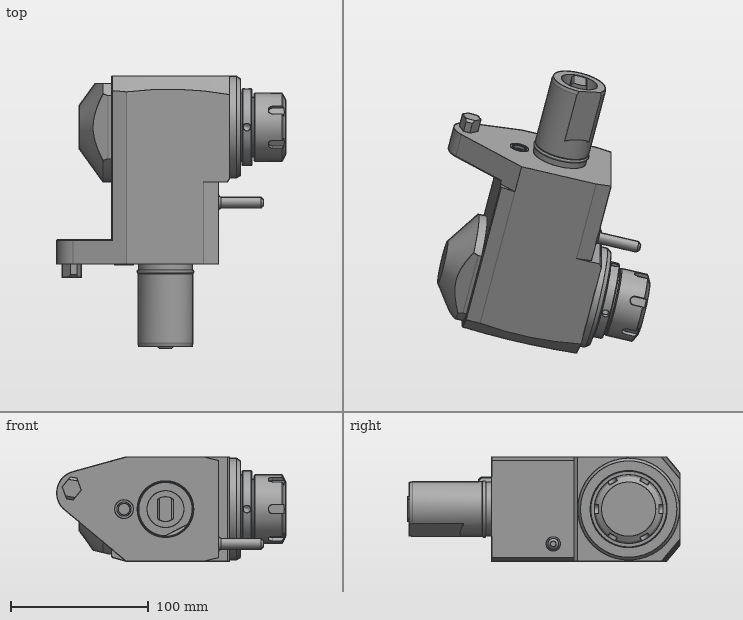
import cadquery as cq
import math


HALF_HEIGHT = 38.0
BODY_LEFT = -39.3
FOOT_RIGHT = 38.7
HEAD_RIGHT = 46.7
HEAD_FRONT = 59.6
BODY_BACK = 136.8
SPINDLE_Y = 99.5
HEAD_CHAMFER = (1.8, 2.6)
EDGE_CHAMFER = 0.8
LEFT_BEVEL_X = -28.4
RIGHT_BEVEL_X = 27.5
RIGHT_BEVEL_DROP = 2.8

BACK_BEVEL_HEIGHT = 11.7
BACK_BEVEL_DEPTH = 9.7
BACK_BEVEL_RADIUS = 247.0
BACK_BEVEL_X = 2.7

FLANGE_THICKNESS = 18.0
RELIEF_Y = 20.0
LUG_RADIUS = 16.0
LUG_X = -63.09
LUG_Z = 11.8
BOLT_X = -68.1
BOLT_Z = 15.0
BOLT_ACROSS_FLATS = 12.2
BOLT_LONG_WIDTH = 16.2
BOLT_HEIGHT = 9.6
BOLT_CHAMFER = 2.0
BOLT_TURN = 10.0

PLUG_X = -30.1
PLUG_RADIUS = 6.8
PLUG_RIM_RADIUS = 5.2
PLUG_BORE_RADIUS = 4.2
PLUG_HEIGHT = 0.5
PLUG_BORE_DEPTH = 2.0

SHANK_RADIUS = 20.0
SHANK_LENGTH = 60.0
SHANK_CHAMFER = (0.6, 2.6)
NECK_RADIUS = 19.7
NECK_END = 4.3
RING_END = 6.7
RING_RADIUS = 20.6
GROOVE_END = 7.2
FLAT_DISTANCE = 17.2
FLAT_ANGLE = -62.8
FLAT_START = 17.5
FLAT_RUNOUT = 3.0
SOCKET_RADIUS = 13.4
SOCKET_DEPTH = 12.0
TANG_WIDTH = 11.4
TANG_RADIUS = 9.0
TANG_END = 61.2
TANG_CHAMFER = 1.2

COLLAR_RADIUS = 37.0
COLLAR_END = 54.6
COLLAR_CHAMFER = 3.0
COLLAR_DROP = 2.0
GROOVE_RADIUS = 25.0
RING_START = 55.7
SPINDLE_RING_END = 62.7
SPINDLE_RING_RADIUS = 28.0
SPINDLE_RING_CHAMFER = 0.5
NUT_NECK_RADIUS = 21.8
NUT_START = 64.4
NUT_RADIUS = 25.0
NUT_CHAMFER = 0.8
NUT_SHOULDER = 85.3
NUT_SHOULDER_RADIUS = 24.0
NUT_END = 87.5
NUT_END_RADIUS = 19.7
NUT_SLOTS = 6
SLOT_WIDTH = 6.5
SLOT_START = 74.7
SLOT_FLOOR_RADIUS = 22.0
RING_HOLES = 4
RING_HOLE_X = 59.2
RING_HOLE_RADIUS = 2.7
RING_HOLE_DEPTH = 5.0
DRILL_POINT = 1.5

CAP_RADIUS = 39.8
CAP_RIM_X = -45.4
CAP_END_X = -62.7
CAP_END_RADIUS = 15.8
CAP_BACK = 131.4
CAP_HALF_HEIGHT = 32.5
CAP_CORNER = 7.4
CAP_BEVEL_X = -41.9
CAP_BEVEL_ANGLE = 14.0

PIN_Y = 44.7
PIN_Z = -25.3
PIN_RADIUS = 4.0
PIN_END = 71.4
PIN_CHAMFER = 2.0
PIN_COLLAR_RADIUS = 5.2
PIN_COLLAR_LENGTH = 1.5

OVERLAP = 1.0


def turned_about_x(points, y=0.0, z=0.0):
    """Solid of revolution about an X-parallel axis, from (x, radius) points."""
    profile = cq.Workplane("XY").polyline(points).close()
    return profile.revolve(360, (0, 0, 0), (1, 0, 0)).translate((0, y, z))


def along_y(sketch, start, end):
    """Extrude the outline that `sketch` draws in X and Z, from Y = start to Y = end."""
    plane = cq.Workplane("XZ", origin=(0, end, 0))
    return sketch(plane).extrude(end - start)


def lug_tangent(side):
    """Point where the line from the body corner at Z = side * HALF_HEIGHT touches the lug."""
    dx = LEFT_BEVEL_X - LUG_X
    dz = side * HALF_HEIGHT - LUG_Z
    angle = math.atan2(dz, dx) + side * math.acos(LUG_RADIUS / math.hypot(dx, dz))
    return LUG_X + LUG_RADIUS * math.cos(angle), LUG_Z + LUG_RADIUS * math.sin(angle)


def left_bevel_drop():
    """Fall of the upper lug slope between the bevel line and the left face."""
    tangent_x, tangent_z = lug_tangent(1)
    slope = (HALF_HEIGHT - tangent_z) / (LEFT_BEVEL_X - tangent_x)
    return slope * (LEFT_BEVEL_X - BODY_LEFT)


def flange_outline(plane):
    right_z = HALF_HEIGHT - RIGHT_BEVEL_DROP
    return (
        plane.moveTo(LEFT_BEVEL_X, HALF_HEIGHT)
        .lineTo(RIGHT_BEVEL_X, HALF_HEIGHT)
        .lineTo(FOOT_RIGHT, right_z)
        .lineTo(FOOT_RIGHT, -right_z)
        .lineTo(RIGHT_BEVEL_X, -HALF_HEIGHT)
        .lineTo(LEFT_BEVEL_X, -HALF_HEIGHT)
        .lineTo(*lug_tangent(-1))
        .threePointArc((LUG_X - LUG_RADIUS, LUG_Z), lug_tangent(1))
        .close()
    )


def foot_outline(plane):
    left_z = HALF_HEIGHT - left_bevel_drop()
    right_z = HALF_HEIGHT - RIGHT_BEVEL_DROP
    return plane.polyline([
        (LEFT_BEVEL_X, HALF_HEIGHT), (RIGHT_BEVEL_X, HALF_HEIGHT),
        (FOOT_RIGHT, right_z), (FOOT_RIGHT, -right_z),
        (RIGHT_BEVEL_X, -HALF_HEIGHT), (LEFT_BEVEL_X, -HALF_HEIGHT),
        (BODY_LEFT, -left_z), (BODY_LEFT, left_z),
    ]).close()


def head_outline(plane):
    left_z = HALF_HEIGHT - left_bevel_drop()
    return plane.polyline([
        (LEFT_BEVEL_X, HALF_HEIGHT), (HEAD_RIGHT, HALF_HEIGHT),
        (HEAD_RIGHT, -HALF_HEIGHT), (LEFT_BEVEL_X, -HALF_HEIGHT),
        (BODY_LEFT, -left_z), (BODY_LEFT, left_z),
    ]).close()


def back_bevel_envelope():
    """Barrel about a Z axis whose two conical ends leave the curved back bevels."""
    reach = 2.0
    waist_radius = BACK_BEVEL_RADIUS + reach * BACK_BEVEL_DEPTH
    waist_z = HALF_HEIGHT - reach * BACK_BEVEL_HEIGHT
    profile = cq.Workplane("XZ").polyline([
        (0, -HALF_HEIGHT), (BACK_BEVEL_RADIUS, -HALF_HEIGHT), (waist_radius, -waist_z),
        (waist_radius, waist_z), (BACK_BEVEL_RADIUS, HALF_HEIGHT), (0, HALF_HEIGHT),
    ]).close()
    barrel = profile.revolve(360, (0, 0, 0), (0, 1, 0))
    axis_y = BODY_BACK - BACK_BEVEL_DEPTH - BACK_BEVEL_RADIUS
    return barrel.translate((BACK_BEVEL_X, axis_y, 0))


def head_corner_chamfer():
    """Wedge removed from the front right vertical edge of the head."""
    across, along = HEAD_CHAMFER
    return (
        cq.Workplane("XY", origin=(0, 0, -HALF_HEIGHT))
        .polyline([
            (HEAD_RIGHT, HEAD_FRONT), (HEAD_RIGHT - across, HEAD_FRONT), (HEAD_RIGHT, HEAD_FRONT + along),
        ])
        .close()
        .extrude(2 * HALF_HEIGHT)
    )


def lug_relief_outline(plane):
    """Corner of the body below the lower slope of the lug."""
    tangent_x, tangent_z = lug_tangent(-1)
    return plane.polyline([
        (LEFT_BEVEL_X, -HALF_HEIGHT), (tangent_x, tangent_z), (tangent_x, -HALF_HEIGHT),
    ]).close()


def make_housing():
    foot = along_y(foot_outline, 0, HEAD_FRONT + OVERLAP)
    head = along_y(head_outline, HEAD_FRONT, BODY_BACK).cut(head_corner_chamfer())
    housing = foot.union(head).intersect(back_bevel_envelope())
    housing = housing.faces("<X").chamfer(EDGE_CHAMFER)
    housing = housing.cut(along_y(lug_relief_outline, 0, RELIEF_Y))
    flange = along_y(flange_outline, 0, FLANGE_THICKNESS).faces(">Y").chamfer(EDGE_CHAMFER)
    return housing.union(flange)


def bolt_flats(width):
    """Block between one pair of parallel bolt flats, which face along Z."""
    return along_y(lambda plane: plane.rect(2 * BOLT_LONG_WIDTH, width), -BOLT_HEIGHT, OVERLAP)


def make_lug_bolt():
    """Six-sided head, longer across one pair of flats, which are chamfered at the end."""
    head = bolt_flats(BOLT_LONG_WIDTH).edges("<Y and |X").chamfer(BOLT_CHAMFER)
    for turn in (60, 120):
        head = head.intersect(bolt_flats(BOLT_ACROSS_FLATS).rotate((0, 0, 0), (0, 1, 0), turn))
    head = head.rotate((0, 0, 0), (0, 1, 0), BOLT_TURN)
    return head.translate((BOLT_X, 0, BOLT_Z))


def add_plug(part):
    """Raised ring around a flush face with a blind centre hole."""
    def disc(radius, start, end):
        return along_y(lambda plane: plane.circle(radius), start, end).translate((PLUG_X, 0, 0))

    part = part.union(disc(PLUG_RADIUS, -PLUG_HEIGHT, OVERLAP))
    part = part.cut(disc(PLUG_RIM_RADIUS, -PLUG_HEIGHT, 0))
    return part.cut(disc(PLUG_BORE_RADIUS, -PLUG_HEIGHT, PLUG_BORE_DEPTH))


def shank_flat():
    """Cutter for the shank flat, with a sloped run-out at its flange end."""
    side = 2 * SHANK_RADIUS
    cutter = (
        cq.Workplane("XY", origin=(0, 0, -SHANK_RADIUS))
        .polyline([
            (FLAT_DISTANCE, -SHANK_LENGTH), (side, -SHANK_LENGTH),
            (side, FLAT_DISTANCE - FLAT_START - side), (FLAT_DISTANCE, -FLAT_START - FLAT_RUNOUT),
        ])
        .close()
        .extrude(2 * SHANK_RADIUS)
    )
    return cutter.rotate((0, 0, 0), (0, 1, 0), -FLAT_ANGLE)


def make_shank():
    chamfer_radial, chamfer_axial = SHANK_CHAMFER
    ring_middle = (NECK_END + RING_END) / 2
    profile = (
        cq.Workplane("XY")
        .moveTo(0, OVERLAP)
        .lineTo(NECK_RADIUS, OVERLAP)
        .lineTo(NECK_RADIUS, -NECK_END)
        .threePointArc((RING_RADIUS, -ring_middle), (NECK_RADIUS, -RING_END))
        .lineTo(NECK_RADIUS, -GROOVE_END)
        .lineTo(SHANK_RADIUS, -GROOVE_END)
        .lineTo(SHANK_RADIUS, chamfer_axial - SHANK_LENGTH)
        .lineTo(SHANK_RADIUS - chamfer_radial, -SHANK_LENGTH)
        .lineTo(0, -SHANK_LENGTH)
        .close()
    )
    shank = profile.revolve(360, (0, 0, 0), (0, 1, 0)).cut(shank_flat())
    floor_y = SOCKET_DEPTH - SHANK_LENGTH
    shank = shank.cut(along_y(lambda plane: plane.circle(SOCKET_RADIUS), -SHANK_LENGTH, floor_y))
    tang = along_y(lambda plane: plane.rect(TANG_WIDTH, 2 * TANG_RADIUS), -TANG_END, floor_y + OVERLAP)
    tang = tang.edges("|Z and <Y").chamfer(TANG_CHAMFER)
    tang = tang.edges("|Y").chamfer(TANG_CHAMFER)
    tang_round = along_y(lambda plane: plane.circle(TANG_RADIUS), -TANG_END, floor_y + OVERLAP)
    return shank.union(tang.intersect(tang_round))


def nut_slot(angle):
    """Round-ended wrench slot in the nut, turned to an angle about the spindle axis."""
    half_width = SLOT_WIDTH / 2
    slot = (
        cq.Workplane("XY", origin=(0, 0, SLOT_FLOOR_RADIUS))
        .moveTo(NUT_END, half_width)
        .lineTo(SLOT_START + half_width, half_width)
        .threePointArc((SLOT_START, 0), (SLOT_START + half_width, -half_width))
        .lineTo(NUT_END, -half_width)
        .close()
        .extrude(NUT_RADIUS)
    )
    return slot.rotate((0, 0, 0), (1, 0, 0), angle).translate((0, SPINDLE_Y, 0))


def ring_hole(angle):
    """Radial spanner hole with a drill point, at an angle about the spindle axis."""
    floor = SPINDLE_RING_RADIUS - RING_HOLE_DEPTH
    profile = cq.Workplane("XZ").polyline([
        (0, floor - DRILL_POINT), (RING_HOLE_RADIUS, floor),
        (RING_HOLE_RADIUS, SPINDLE_RING_RADIUS + OVERLAP), (0, SPINDLE_RING_RADIUS + OVERLAP),
    ]).close()
    hole = profile.revolve(360, (0, 0, 0), (0, 1, 0)).translate((RING_HOLE_X, 0, 0))
    return hole.rotate((0, 0, 0), (1, 0, 0), angle).translate((0, SPINDLE_Y, 0))


def make_spindle():
    ring_edge_radius = SPINDLE_RING_RADIUS - SPINDLE_RING_CHAMFER
    spindle = turned_about_x([
        (HEAD_RIGHT - OVERLAP, 0), (HEAD_RIGHT - OVERLAP, COLLAR_RADIUS),
        (COLLAR_END - COLLAR_CHAMFER, COLLAR_RADIUS), (COLLAR_END, COLLAR_RADIUS - COLLAR_DROP),
        (COLLAR_END, GROOVE_RADIUS), (RING_START, GROOVE_RADIUS),
        (RING_START, ring_edge_radius), (RING_START + SPINDLE_RING_CHAMFER, SPINDLE_RING_RADIUS),
        (SPINDLE_RING_END - SPINDLE_RING_CHAMFER, SPINDLE_RING_RADIUS), (SPINDLE_RING_END, ring_edge_radius),
        (SPINDLE_RING_END, NUT_NECK_RADIUS), (NUT_START, NUT_NECK_RADIUS),
        (NUT_START, NUT_RADIUS - NUT_CHAMFER), (NUT_START + NUT_CHAMFER, NUT_RADIUS),
        (NUT_SHOULDER - NUT_CHAMFER, NUT_RADIUS), (NUT_SHOULDER, NUT_SHOULDER_RADIUS),
        (NUT_END, NUT_END_RADIUS), (NUT_END, 0),
    ], y=SPINDLE_Y)
    for index in range(NUT_SLOTS):
        spindle = spindle.cut(nut_slot(90 + 360 / NUT_SLOTS * index))
    for index in range(RING_HOLES):
        spindle = spindle.cut(ring_hole(360 / RING_HOLES * index))
    return spindle


def cap_side_outline():
    """Cap clipped above and below: level next to the housing, then sloping inwards."""
    slope_run = CAP_BEVEL_X - CAP_END_X
    end_z = CAP_HALF_HEIGHT - slope_run * math.tan(math.radians(CAP_BEVEL_ANGLE))
    root_x = BODY_LEFT + OVERLAP
    return cq.Workplane("XZ").polyline([
        (root_x, CAP_HALF_HEIGHT), (CAP_BEVEL_X, CAP_HALF_HEIGHT), (CAP_END_X, end_z),
        (CAP_END_X, -end_z), (CAP_BEVEL_X, -CAP_HALF_HEIGHT), (root_x, -CAP_HALF_HEIGHT),
    ]).close()


def make_cap():
    root_x = BODY_LEFT + OVERLAP
    cap = turned_about_x([
        (root_x, 0), (root_x, CAP_RADIUS), (CAP_RIM_X, CAP_RADIUS),
        (CAP_END_X, CAP_END_RADIUS), (CAP_END_X, 0),
    ], y=SPINDLE_Y)
    cap = cap.intersect(cap_side_outline().extrude(SPINDLE_Y + CAP_RADIUS, both=True))
    corner_z = CAP_HALF_HEIGHT - CAP_CORNER
    front_y = SPINDLE_Y - CAP_RADIUS
    face = (
        cq.Workplane("YZ", origin=(CAP_END_X, 0, 0))
        .polyline([
            (front_y, CAP_HALF_HEIGHT), (CAP_BACK - CAP_CORNER, CAP_HALF_HEIGHT), (CAP_BACK, corner_z),
            (CAP_BACK, -corner_z), (CAP_BACK - CAP_CORNER, -CAP_HALF_HEIGHT), (front_y, -CAP_HALF_HEIGHT),
        ])
        .close()
        .extrude(root_x - CAP_END_X)
    )
    return cap.intersect(face)


def make_stop_pin():
    collar_end = FOOT_RIGHT + PIN_COLLAR_LENGTH
    return turned_about_x([
        (FOOT_RIGHT - OVERLAP, 0), (FOOT_RIGHT - OVERLAP, PIN_COLLAR_RADIUS),
        (FOOT_RIGHT, PIN_COLLAR_RADIUS), (collar_end, PIN_RADIUS),
        (PIN_END - PIN_CHAMFER, PIN_RADIUS), (PIN_END, PIN_RADIUS - PIN_CHAMFER), (PIN_END, 0),
    ], y=PIN_Y, z=PIN_Z)


result = make_housing()
for attachment in (make_cap(), make_spindle(), make_stop_pin(), make_lug_bolt(), make_shank()):
    result = result.union(attachment)
result = add_plug(result)